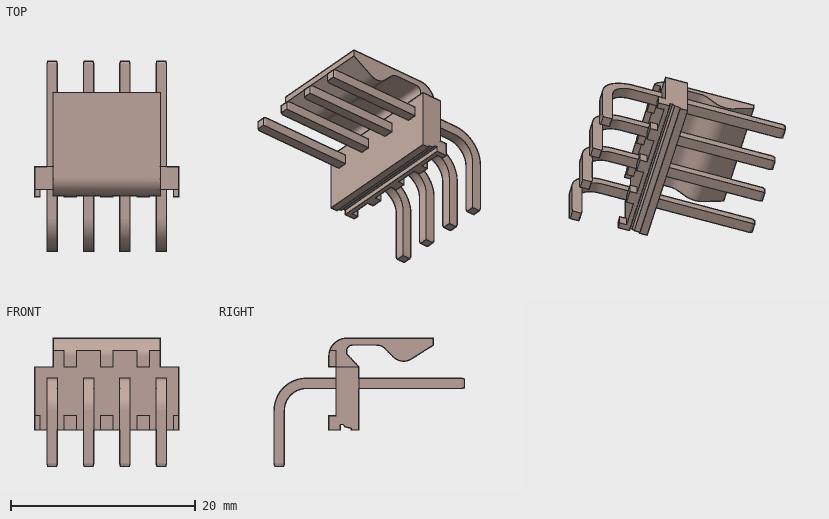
import cadquery as cq


pin_count = 4
pitch = 3.95
pin_size = 1.14
pin_axis_height = 5.1
pin_length = 20.7
pin_leg_face = -6.73
pin_foot = -3.95
bend_outer_radius = 3.52
tip_length = 0.3
tip_inset = 0.08

wall_length = 15.7
wall_thickness = 2.5
wall_height = 6.88

rib_width = 1.35
rib_depth = 0.79
lower_rib_height = 1.57
upper_rib_top = 8.65

groove_near = 0.5
groove_far = 1.65
groove_roof_width = 0.3
groove_ramp_foot = 1.04
groove_depth = 0.6
groove_ramp_depth = 0.33
groove_lip = 0.2

arm_width = 11.68
arm_top = 10.02
arm_thickness = 0.79
arm_end = 10.58
arm_bend_radius = 2.0
neck_back = 1.18
neck_bottom = 8.3
hook_peak = (7.15, 7.06)
hook_radius = 1.55
hook_root = 4.97
hook_root_radius = 1.25
neck_top_radius = 0.6
neck_bottom_radius = 0.41

arm_underside = arm_top - arm_thickness


def row_positions(count):
    """X positions of features one pitch apart, centred on X = 0."""
    return [(i - (count - 1) / 2) * pitch for i in range(count)]


def extrude_along_x(outline, width):
    """Extrude a sketch drawn in the YZ plane, centred on X = 0."""
    return outline.extrude(width / 2, both=True)


def round_edge(body, y, z, radius):
    """Round the edge parallel to X that passes through the point (y, z)."""
    return body.edges("|X").edges(cq.selectors.NearestToPointSelector((0, y, z))).fillet(radius)


def make_wall():
    wall = cq.Workplane("XY").box(wall_length, wall_thickness, wall_height, centered=(True, False, False))
    groove = cq.Workplane("YZ").polyline([
        (groove_near, 0),
        (groove_near, groove_depth),
        (groove_near + groove_roof_width, groove_depth),
        (groove_ramp_foot, groove_ramp_depth),
        (groove_far, groove_lip),
        (groove_far, 0),
    ]).close()
    return wall.cut(extrude_along_x(groove, wall_length))


def make_rib(x, bottom, top):
    rib = cq.Workplane("XY").box(rib_width, rib_depth, top - bottom, centered=(True, False, False))
    return rib.translate((x, -rib_depth, bottom))


def make_lower_ribs():
    """Ribs on both sides of every pin; the outermost ones are trimmed flush with the wall ends."""
    ribs = cq.Workplane("XY")
    for x in row_positions(pin_count + 1):
        ribs = ribs.union(make_rib(x, 0, lower_rib_height))
    space_between_ends = cq.Workplane("XY").box(wall_length, 2 * rib_depth, 2 * lower_rib_height)
    return ribs.intersect(space_between_ends)


def make_arm():
    arm = extrude_along_x(cq.Workplane("YZ").polyline([
        (-rib_depth, wall_height),
        (-rib_depth, arm_top),
        (arm_end, arm_top),
        (arm_end, arm_underside),
        hook_peak,
        (hook_root, arm_underside),
        (neck_back, arm_underside),
        (neck_back, neck_bottom),
        (wall_thickness, wall_height),
    ]).close(), arm_width)
    arm = round_edge(arm, -rib_depth, arm_top, arm_bend_radius)
    arm = round_edge(arm, *hook_peak, hook_radius)
    arm = round_edge(arm, hook_root, arm_underside, hook_root_radius)
    arm = round_edge(arm, neck_back, arm_underside, neck_top_radius)
    arm = round_edge(arm, neck_back, neck_bottom, neck_bottom_radius)

    setback_height = upper_rib_top - wall_height
    setback = cq.Workplane("XY").box(arm_width, rib_depth, setback_height, centered=(True, False, False))
    setback = setback.translate((0, -rib_depth, wall_height))
    for x in row_positions(pin_count - 1):
        setback = setback.cut(make_rib(x, wall_height, upper_rib_top))
    return arm.cut(setback)


def make_tip(base_plane):
    """Tapered pin end, growing along the normal of the base plane."""
    end_size = pin_size - 2 * tip_inset
    base = cq.Workplane(base_plane).rect(pin_size, pin_size)
    return base.workplane(offset=tip_length).rect(end_size, end_size).loft(ruled=True)


def make_pin():
    top = pin_axis_height + pin_size / 2
    bottom = top - pin_size
    leg_back = pin_leg_face + pin_size
    mating_end = pin_leg_face + pin_length - tip_length
    foot_end = pin_foot + tip_length
    pin = extrude_along_x(cq.Workplane("YZ").polyline([
        (mating_end, top),
        (pin_leg_face, top),
        (pin_leg_face, foot_end),
        (leg_back, foot_end),
        (leg_back, bottom),
        (mating_end, bottom),
    ]).close(), pin_size)
    pin = round_edge(pin, pin_leg_face, top, bend_outer_radius)
    pin = round_edge(pin, leg_back, bottom, bend_outer_radius - pin_size)

    mating_plane = cq.Plane(origin=(0, mating_end, pin_axis_height), xDir=(1, 0, 0), normal=(0, 1, 0))
    foot_plane = cq.Plane(
        origin=(0, pin_leg_face + pin_size / 2, foot_end), xDir=(1, 0, 0), normal=(0, 0, -1)
    )
    return pin.union(make_tip(mating_plane)).union(make_tip(foot_plane))


result = make_wall().union(make_lower_ribs()).union(make_arm())
pin = make_pin()
for x in row_positions(pin_count):
    result = result.union(pin.translate((x, 0, 0)))